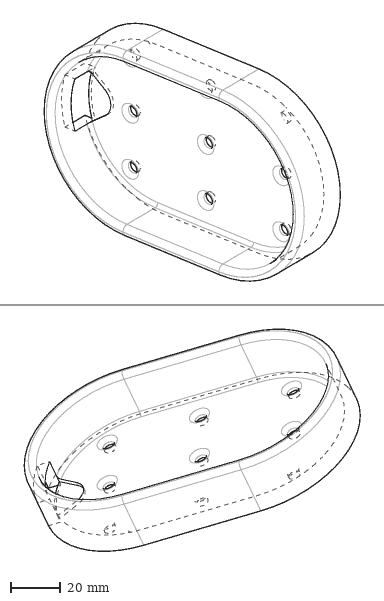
import cadquery as cq
import math

end_radius = 43.18
straight_length = 50.8
tray_depth = 25.4
wall = 5.08
floor_thickness = 3.4
rim_fillet = 2.5
floor_fillet = 1.65

hole_diameter = 5.0
hole_round = 1.9
hole_pitch_x = 40.0
hole_pitch_z = 26.2

window_width = 24.4
window_depth = 12.7
pocket_depth = 1.7
pocket_tip_inset = 18.3
pocket_tip_radius = 7.5

half_length = straight_length / 2 + end_radius
inner_radius = end_radius - wall
floor_y = -floor_thickness
pocket_floor_y = floor_y + pocket_depth
arc_center_x = -straight_length / 2


def stadium(radius, back_y, depth):
    """Stadium prism that starts at back_y and grows towards -Y."""
    return (
        cq.Workplane("XZ", origin=(0, back_y, 0))
        .slot2D(straight_length + 2 * radius, 2 * radius)
        .extrude(depth)
    )


def make_tray():
    """Tray with a rounded rim and a rounded corner between floor and wall."""
    body = stadium(end_radius, 0, tray_depth)
    cavity = stadium(inner_radius, floor_y, tray_depth - floor_thickness)
    cavity = cavity.faces(">Y").edges().fillet(floor_fillet)
    return body.cut(cavity).faces("<Y").edges().fillet(rim_fillet)


def make_screw_hole():
    """Cutter for one through hole that flares in a convex round up to the floor surface."""
    hole_radius = hole_diameter / 2
    round_start_y = floor_y + hole_round
    arc_offset = hole_round * (1 - math.sqrt(0.5))
    return (
        cq.Workplane("XY")
        .moveTo(0, 0)
        .lineTo(hole_radius, 0)
        .lineTo(hole_radius, round_start_y)
        .threePointArc(
            (hole_radius + arc_offset, floor_y + arc_offset),
            (hole_radius + hole_round, floor_y),
        )
        .lineTo(0, floor_y)
        .close()
        .revolve(360, (0, 0, 0), (0, 1, 0))
    )


def cut_screw_holes(tray):
    """Cut the grid of screw holes, centred on the floor."""
    cutter = make_screw_hole()
    for column in (-1, 0, 1):
        for row in (-1, 0, 1):
            tray = tray.cut(cutter.translate((column * hole_pitch_x, 0, row * hole_pitch_z)))
    return tray


def make_window():
    """Window through the -X end wall, outside the inner wall radius."""
    block = (
        cq.Workplane("XY", origin=(-half_length, -window_depth, 0))
        .box(end_radius, window_depth, window_width, centered=(False, False, True))
    )
    core = cq.Workplane("XZ", origin=(arc_center_x, 0, 0)).circle(inner_radius).extrude(window_depth)
    return block.cut(core)


def make_pocket():
    """Shallow V pocket with a rounded tip that points towards +X."""
    tip_x = -half_length + pocket_tip_inset
    tip_center_x = tip_x - pocket_tip_radius
    half_mouth = window_width / 2
    mouth_x = arc_center_x - math.sqrt(inner_radius**2 - half_mouth**2)
    reach = math.hypot(mouth_x - tip_center_x, half_mouth)
    mouth_angle = math.atan2(half_mouth, mouth_x - tip_center_x)
    tangent_angle = mouth_angle - math.acos(pocket_tip_radius / reach)
    tangent_x = tip_center_x + pocket_tip_radius * math.cos(tangent_angle)
    tangent_z = pocket_tip_radius * math.sin(tangent_angle)
    return (
        cq.Workplane("XZ", origin=(0, pocket_floor_y, 0))
        .moveTo(-half_length, -half_mouth)
        .lineTo(mouth_x, -half_mouth)
        .lineTo(tangent_x, -tangent_z)
        .threePointArc((tip_x, 0), (tangent_x, tangent_z))
        .lineTo(mouth_x, half_mouth)
        .lineTo(-half_length, half_mouth)
        .close()
        .extrude(window_depth + pocket_floor_y)
    )


result = cut_screw_holes(make_tray()).cut(make_window()).cut(make_pocket())